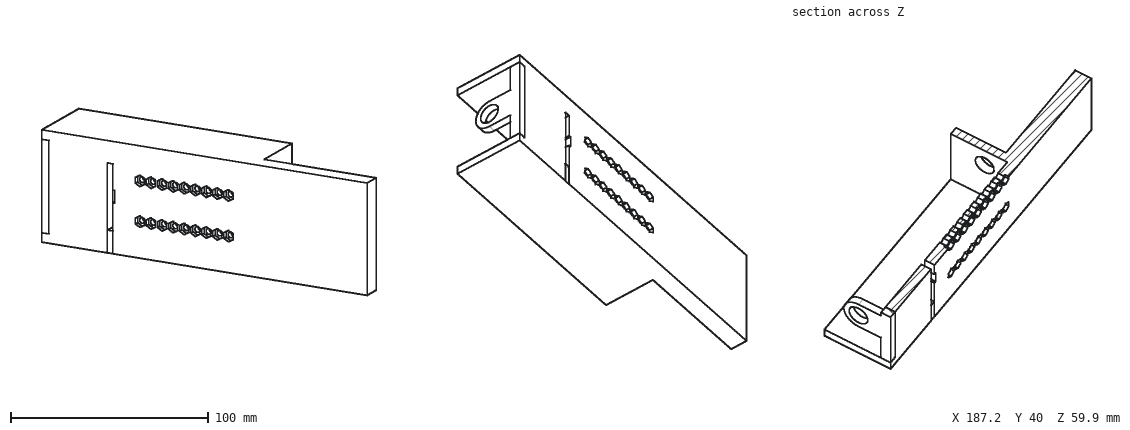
import cadquery as cq
import math

length = 187.2
depth = 40.0
height = 59.9
box_length = 122.6
flange = 5.0
front_wall = 6.0
arm_thickness = 10.0
mid_height = height / 2

plate_thickness = 4.1
lug_radius = 8.8
eye_diameter = 11.2
eye_y = 19.5

slot_x = 37.8
slot_width = 3.0
slot_top = 48.0
slot_sill = 12.2
groove_depth = 0.1
notch_depth = 1.1
notch_bottom = 27.1
notch_top = 33.9

holes_per_row = 9
hole_pitch = 6.4
first_hole_x = 56.5
row_heights = (19.5, 41.2)
hole_diameter = 3.0
nut_across_flats = 5.2
nut_across_corners = nut_across_flats / math.cos(math.radians(30))
nut_pocket_depth = 2.5


def block(x0, x1, y0, y1, z0, z1):
    """Box spanning the given limits along each axis."""
    return cq.Workplane("XY").box(x1 - x0, y1 - y0, z1 - z0, centered=False).translate((x0, y0, z0))


def housing_shell():
    """Box open at its left end and back, with the thick arm carrying on past its end wall."""
    box = block(0, box_length, 0, depth, 0, height)
    arm = block(box_length, length, 0, arm_thickness, 0, height)
    cavity = block(0, box_length - flange, front_wall, depth, flange, height - flange)
    plate_seat = block(0, plate_thickness, 0, front_wall, flange, height - flange)
    return box.union(arm).cut(cavity).cut(plate_seat)


def end_wall_hole():
    """Hole in the end wall, in line with the eye of the lug."""
    return (
        cq.Workplane("YZ", origin=(box_length - flange, eye_y, mid_height))
        .circle(eye_diameter / 2)
        .extrude(flange)
    )


def gauge_slot():
    """Slot through the front wall with a side notch and a shallow groove down to the bottom."""
    slot_end_x = slot_x + slot_width
    slot = block(slot_x, slot_end_x, 0, front_wall, slot_sill, slot_top)
    notch = block(slot_x, slot_end_x + notch_depth, 0, front_wall, notch_bottom, notch_top)
    groove = block(slot_x, slot_end_x, 0, groove_depth, 0, slot_sill)
    return slot.union(notch).union(groove)


def nut_holes():
    """Rows of round through holes, each with a nut pocket whose flats face left and right."""
    centers = [
        (first_hole_x + i * hole_pitch, z)
        for z in row_heights
        for i in range(holes_per_row)
    ]
    front_face = cq.Workplane("XZ").pushPoints(centers)
    holes = front_face.circle(hole_diameter / 2).extrude(-front_wall)
    hexagon = cq.Sketch().regularPolygon(nut_across_corners / 2, 6)
    pockets = front_face.placeSketch(hexagon).extrude(-nut_pocket_depth)
    return holes.union(pockets)


def make_housing():
    return housing_shell().cut(end_wall_hole()).cut(gauge_slot()).cut(nut_holes())


def make_lug_plate():
    """Strip filling the seat in the front wall, with a round-ended lug and eye reaching inward."""
    strip = block(0, plate_thickness, 0, front_wall, flange, height - flange)
    lug = (
        cq.Workplane("YZ")
        .moveTo(front_wall, mid_height - lug_radius)
        .lineTo(eye_y, mid_height - lug_radius)
        .threePointArc((eye_y + lug_radius, mid_height), (eye_y, mid_height + lug_radius))
        .lineTo(front_wall, mid_height + lug_radius)
        .close()
        .extrude(plate_thickness)
    )
    eye = cq.Workplane("YZ", origin=(0, eye_y, mid_height)).circle(eye_diameter / 2).extrude(plate_thickness)
    return strip.union(lug).cut(eye)


housing = make_housing()
lug_plate = make_lug_plate()
result = cq.Compound.makeCompound([housing.val(), lug_plate.val()])